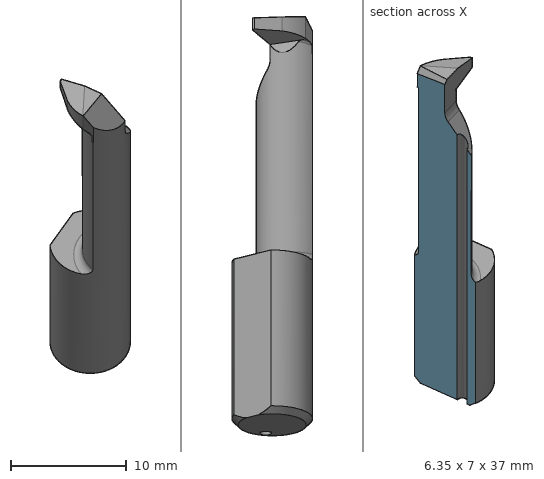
import cadquery as cq
import math

length = 37.0
shank_diameter = 7.0
shank_radius = shank_diameter / 2
shank_top = 14.8
shank_width = 6.35
shank_flat_x = shank_radius - shank_width
end_chamfer = 0.55

neck_radius = 3.0
neck_left = -0.35
neck_axis_x = neck_left + neck_radius
root_fillet = 0.75

hole_diameter = 1.0
hole_x = 1.45
hole_y = 1.78

rake_y = 0.0
runout_corner_z = 32.8
runout_angle = 41.0
runout_fillet = 1.35

tip_land = 0.22
flank_end = (-1.15, -1.92)
flank_arc_mid = (-0.22, -2.5)
flank_arc_end = (0.92, -2.9)
side_y = flank_arc_end[1]
side_relief_z = 33.9

tip_top = 36.45
tip_bottom = 35.33
head_underside_z = 34.7
underside_y_slope = -0.08
top_ridge_x = -0.55
back_ridge_x = 1.15
back_ridge_shift = -0.2

facet_chord_y = (-0.05, -2.22)
facet_bottom_z = 33.8
facet_top_z = 34.62

underside_fillet = 0.22
underside_fillet_point = (1.35, -2.65, 34.9)

big = 2 * length


def half_space(a, b, c):
    """Large block on the side of the plane through a, b, c where they run counter-clockwise."""
    a, b, c = cq.Vector(*a), cq.Vector(*b), cq.Vector(*c)
    normal = (b - a).cross(c - a)
    return cq.Workplane(cq.Plane(a, b - a, normal)).rect(big, big).extrude(big)


def make_shank():
    shank = cq.Workplane("XY").circle(shank_radius).extrude(shank_top)
    shank = shank.faces("<Z").chamfer(end_chamfer)
    flat = cq.Workplane("XY").box(big, big, big).translate((shank_flat_x - big / 2, 0, 0))
    return shank.cut(flat)


def neck_x(y):
    """X of the neck surface on its -X side."""
    return neck_axis_x - math.sqrt(neck_radius ** 2 - y ** 2)


def make_neck():
    """Neck with its concave root fillet, and the flat under the head."""
    flare_radius = neck_radius + root_fillet
    arc_offset = root_fillet * (1 - math.sqrt(0.5))
    neck = (
        cq.Workplane("XZ")
        .moveTo(0, shank_top)
        .lineTo(flare_radius, shank_top)
        .threePointArc(
            (neck_radius + arc_offset, shank_top + arc_offset),
            (neck_radius, shank_top + root_fillet),
        )
        .lineTo(neck_radius, length)
        .lineTo(0, length)
        .close()
        .revolve(360, (0, 0, 0), (0, 1, 0))
        .translate((neck_axis_x, 0, 0))
    )
    near_y, far_y = facet_chord_y
    mid_y = (near_y + far_y) / 2
    facet = half_space(
        (neck_x(mid_y), mid_y, facet_bottom_z),
        (neck_x(far_y), far_y, facet_top_z),
        (neck_x(near_y), near_y, facet_top_z),
    )
    return neck.cut(facet)


def make_head():
    """Hooked head with a sloping underside."""
    head = (
        cq.Workplane("XY")
        .workplane(offset=runout_corner_z)
        .moveTo(shank_flat_x, rake_y)
        .lineTo(shank_flat_x, rake_y - tip_land)
        .lineTo(*flank_end)
        .threePointArc(flank_arc_mid, flank_arc_end)
        .lineTo(shank_radius, side_y)
        .lineTo(shank_radius, rake_y)
        .close()
        .extrude(length - runout_corner_z)
    )
    below = half_space(
        (shank_flat_x, 0, tip_bottom),
        (neck_left, 0, head_underside_z),
        (shank_flat_x, -0.37, tip_bottom - underside_y_slope),
    )
    return head.cut(below)


def rake_cut():
    """Material removed behind the rake face, with a rounded run-out."""
    run = shank_diameter
    drop = run / math.tan(math.radians(runout_angle))
    return (
        cq.Workplane("YZ")
        .polyline([
            (rake_y, length),
            (rake_y, runout_corner_z),
            (rake_y + run, runout_corner_z - drop),
            (rake_y + run, length),
        ])
        .close()
        .extrude(shank_radius, both=True)
        .edges(cq.selectors.NearestToPointSelector((0, rake_y, runout_corner_z)))
        .fillet(runout_fillet)
    )


def side_relief():
    """Narrow flat along the -Y side of the head."""
    return (
        cq.Workplane("XY")
        .box(big, big, big)
        .translate((0, side_y - big / 2, side_relief_z + big / 2))
    )


def top_slopes():
    """Material above the slope to the tip and above the back slope."""
    far_x, far_y = flank_arc_end
    tip_slope = half_space(
        (top_ridge_x, 0, length),
        (shank_flat_x, 0, tip_top),
        (far_x, far_y, length),
    )
    back_slope = half_space(
        (back_ridge_x, 0, length),
        (back_ridge_x + back_ridge_shift, far_y, length),
        (back_ridge_x + 0.37, 0, length - 0.37),
    )
    return [tip_slope, back_slope]


envelope = cq.Workplane("XY").circle(shank_radius).extrude(length)
upper = make_neck().union(make_head()).intersect(envelope)
for cutter in [rake_cut(), side_relief(), *top_slopes()]:
    upper = upper.cut(cutter)
under_head_edge = cq.selectors.NearestToPointSelector(underside_fillet_point)
upper = upper.edges(under_head_edge).fillet(underside_fillet)
coolant_hole = cq.Workplane("XY").center(hole_x, hole_y).circle(hole_diameter / 2).extrude(length)
result = make_shank().union(upper).cut(coolant_hole)